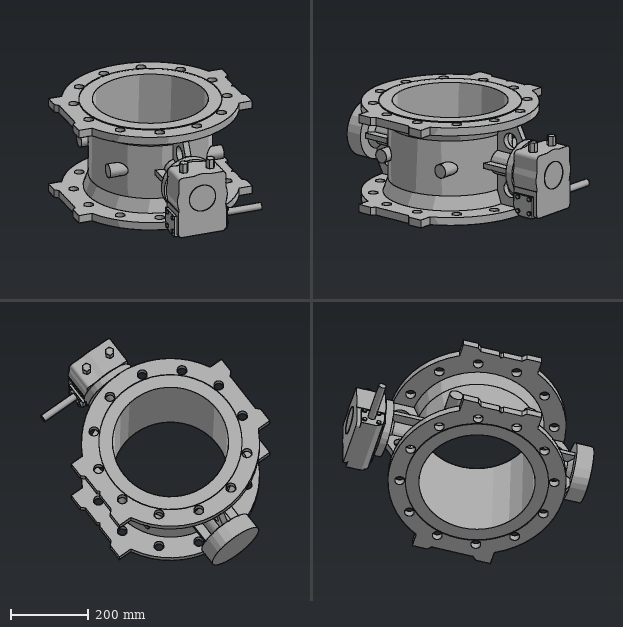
import cadquery as cq
import math


body_height = 270.0
bore_dia = 300.0
barrel_radius = 161.0
cone_top_radius = 174.0
cone_start_z = 74.5
raised_face_dia = 370.0
raised_face_height = 2.5
flange_radius = 230.5
flange_thickness = 21.5
flange_top_z = body_height / 2 - raised_face_height
flange_bottom_z = flange_top_z - flange_thickness

foot_reach = 242.0
foot_half_width = 105.0
recess_half_width = 65.0
recess_depth = 9.5
notch_depth = 6.0
bolt_circle_radius = 200.0
bolt_hole_dia = 25.0
bolt_count = 12

shaft_y = 6.5
mount_dia = 150.0
mount_inner_x = 246.0
left_end_x = -292.0
right_mount_x = 266.0
stem_radius = 33.0
stem_flare_radius = 46.5
stem_flare_length = 13.0
web_thickness = 16.0
web_outer_z = 76.0
web_top_x = 227.5
web_hole_dia = 43.0
web_hole_x = 205.0
web_hole_z = 65.0
rib_thickness = 14.0
rib_width = 110.0

stub_dia = 36.0
stub_x = 100.0
stub_reach = 158.5
frame_length = 78.0
frame_height = 58.0
frame_border = 7.0
frame_rise = 2.0
frame_corner = 7.5
frame_angle = 211

gearbox_end_x = 344.0
right_end_x = 345.0
gearbox_half = 65.5
hub_radius = 69.5
gearbox_corner = 11.0
gearbox_bottom_z = -104.0
worm_housing_top_z = -30.0
worm_housing_half = 67.0
shoulder_z = -68.0
hub_cap_dia = 73.0

cover_min_x = 271.5
cover_max_x = 333.0
cover_top_z = -45.0
cover_corner = 30.5
cover_face = 74.0
worm_x = 306.5
worm_z = -71.0
worm_shaft_dia = 20.0
worm_shaft_end_y = 184.0
screw_pitch = 38.0
screw_dia = 11.0
screw_face = 78.0
hex_width = 20.0
hex_top_z = 91.0
hex_offset = 37.0


def box(x0, x1, y0, y1, z0, z1):
    """Box between two opposite corners."""
    return cq.Workplane("XY").box(x1 - x0, y1 - y0, z1 - z0, centered=False).translate((x0, y0, z0))


def rod_x(radius, x0, x1):
    """Cylinder on the shaft axis."""
    return cq.Workplane("YZ", origin=(x0, shaft_y, 0)).circle(radius).extrude(x1 - x0)


def rod_y(x, z, diameter, y0, y1):
    """Cylinder parallel to Y."""
    return cq.Workplane("XZ", origin=(x, y0, z)).circle(diameter / 2).extrude(y0 - y1)


def barrel():
    """Revolved barrel that flares into both flanges."""
    half = [
        (0, flange_bottom_z),
        (cone_top_radius, flange_bottom_z),
        (barrel_radius, cone_start_z),
    ]
    mirrored = [(r, -z) for r, z in reversed(half)]
    return cq.Workplane("XZ").polyline(half + mirrored).close().revolve(360, (0, 0, 0), (0, 1, 0))


def flange():
    """Upper flange with its feet, raised face and bolt holes."""
    plate = cq.Workplane("XY").circle(flange_radius).extrude(flange_thickness)
    feet = cq.Workplane("XY").rect(2 * foot_half_width, 2 * foot_reach).extrude(flange_thickness)
    plate = plate.union(feet)
    recess_floor = foot_reach - recess_depth
    recess = (
        cq.Workplane("XY")
        .moveTo(-recess_half_width, foot_reach)
        .lineTo(-recess_half_width + recess_depth, recess_floor)
        .lineTo(recess_half_width - recess_depth, recess_floor)
        .lineTo(recess_half_width, foot_reach)
        .close()
        .extrude(flange_thickness)
    )
    notch = (
        cq.Workplane("XY")
        .moveTo(-notch_depth, recess_floor)
        .lineTo(0, recess_floor - notch_depth)
        .lineTo(notch_depth, recess_floor)
        .close()
        .extrude(flange_thickness)
    )
    holes = (
        cq.Workplane("XY")
        .polarArray(bolt_circle_radius, 180 / bolt_count, 360, bolt_count)
        .circle(bolt_hole_dia / 2)
        .extrude(flange_thickness)
    )
    plate = plate.cut(recess).cut(recess.mirror("XZ")).cut(notch).cut(holes)
    face = cq.Workplane("XY").circle(raised_face_dia / 2).extrude(flange_thickness + raised_face_height)
    return plate.union(face).translate((0, 0, flange_bottom_z))


def right_bracket():
    """Stem, flared end, upright web and level rib that carry the right mount."""
    stem = rod_x(stem_radius, 0, mount_inner_x)
    flare = (
        cq.Workplane("XY")
        .moveTo(mount_inner_x - stem_flare_length, 0)
        .lineTo(mount_inner_x - stem_flare_length, stem_radius)
        .lineTo(mount_inner_x, stem_flare_radius)
        .lineTo(mount_inner_x, 0)
        .close()
        .revolve(360, (0, 0, 0), (1, 0, 0))
        .translate((0, shaft_y, 0))
    )
    web = (
        cq.Workplane("XZ", origin=(0, shaft_y + web_thickness / 2, 0))
        .polyline([
            (0, flange_bottom_z),
            (web_top_x, flange_bottom_z),
            (mount_inner_x, web_outer_z),
            (mount_inner_x, -web_outer_z),
            (web_top_x, -flange_bottom_z),
            (0, -flange_bottom_z),
        ])
        .close()
        .extrude(web_thickness)
    )
    for side in (1, -1):
        web = web.cut(rod_y(web_hole_x, side * web_hole_z, web_hole_dia, -mount_dia, mount_dia))
    rib = box(
        0, mount_inner_x,
        shaft_y - rib_width / 2, shaft_y + rib_width / 2,
        -rib_thickness / 2, rib_thickness / 2,
    )
    return web.union(stem).union(flare).union(rib)


def label_frame():
    """Rounded rectangular border standing slightly proud of the barrel."""
    def block(length, height):
        return cq.Workplane("YZ").rect(length, height).extrude(flange_radius)

    border = block(frame_length, frame_height).edges("|X").fillet(frame_corner)
    border = border.cut(block(frame_length - 2 * frame_border, frame_height - 2 * frame_border))
    shell = cq.Workplane("XY").circle(barrel_radius + frame_rise).extrude(frame_height, both=True)
    return border.intersect(shell).rotate((0, 0, 0), (0, 0, 1), frame_angle)


def gearbox():
    """Housing with rounded long edges, wider around the worm, and a round hub on the shaft axis."""
    housing = box(
        right_mount_x, gearbox_end_x,
        shaft_y - gearbox_half, shaft_y + gearbox_half,
        worm_housing_top_z, gearbox_half,
    ).edges("|X and >Z").fillet(gearbox_corner)
    worm_housing = box(
        right_mount_x, gearbox_end_x,
        shaft_y - worm_housing_half, shaft_y + worm_housing_half,
        gearbox_bottom_z, worm_housing_top_z,
    ).edges("|X and <Z").fillet(gearbox_corner)
    housing = housing.union(worm_housing)
    lower_outline = box(
        cover_min_x, gearbox_end_x,
        -foot_reach, foot_reach,
        gearbox_bottom_z, gearbox_half,
    ).edges("|Y and <X and <Z").fillet(cover_corner)
    upper_outline = box(
        right_mount_x, gearbox_end_x,
        -foot_reach, foot_reach,
        shoulder_z, gearbox_half,
    )
    housing = housing.intersect(lower_outline.union(upper_outline))
    hub = rod_x(hub_radius, right_mount_x, gearbox_end_x)
    hub_cap = rod_x(hub_cap_dia / 2, gearbox_end_x, right_end_x)
    return housing.union(hub).union(hub_cap)


def worm_covers():
    """Covers with four screws on both ends of the worm, and the drive shaft."""
    parts = box(
        cover_min_x, cover_max_x,
        shaft_y - cover_face, shaft_y + cover_face,
        gearbox_bottom_z, cover_top_z,
    ).edges("|Y and <X and <Z").fillet(cover_corner)
    for dx in (-screw_pitch / 2, screw_pitch / 2):
        for dz in (-screw_pitch / 2, screw_pitch / 2):
            screw = rod_y(worm_x + dx, worm_z + dz, screw_dia, shaft_y - screw_face, shaft_y + screw_face)
            parts = parts.union(screw)
    return parts.union(rod_y(worm_x, worm_z, worm_shaft_dia, shaft_y, worm_shaft_end_y))


def hex_bolts():
    """Two hexagonal stop bolts standing on the gearbox, corners along Y."""
    corner_dia = hex_width / math.cos(math.pi / 6)
    bolt = cq.Workplane("XY").polygon(6, corner_dia).extrude(hex_top_z).rotate((0, 0, 0), (0, 0, 1), 90)
    near_bolt = bolt.translate((worm_x, shaft_y - hex_offset, 0))
    far_bolt = bolt.translate((worm_x, shaft_y + hex_offset, 0))
    return near_bolt.union(far_bolt)


result = barrel().union(flange()).union(flange().mirror("XY"))

bracket = right_bracket()
result = result.union(bracket).union(bracket.mirror("YZ"))
result = result.union(rod_x(mount_dia / 2, left_end_x, -mount_inner_x))
result = result.union(rod_x(mount_dia / 2, mount_inner_x, right_mount_x))

for stub_side in (-stub_x, stub_x):
    result = result.union(rod_y(stub_side, 0, stub_dia, -stub_reach, stub_reach))
result = result.union(label_frame())

bore = cq.Workplane("XY").circle(bore_dia / 2).extrude(body_height, both=True)
result = result.cut(bore)

result = result.union(gearbox()).union(worm_covers()).union(hex_bolts())